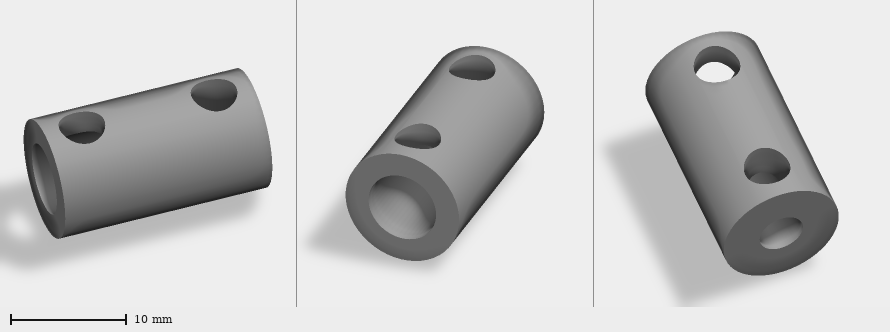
import cadquery as cq
import math

length = 19.05
outer_diameter = 10.67

wide_bore_diameter = 6.35
narrow_bore_diameter = 4.0
wide_bore_depth = length / 2
drill_point_angle = 118.0

screw_hole_diameter = 4.04
screw_hole_inset = 3.45

front_y = -length / 2
back_y = length / 2
wide_radius = wide_bore_diameter / 2
narrow_radius = narrow_bore_diameter / 2
cone_length = (wide_radius - narrow_radius) / math.tan(math.radians(drill_point_angle / 2))
cone_start_y = front_y + wide_bore_depth


def make_body():
    return cq.Workplane("XZ", origin=(0, back_y, 0)).circle(outer_diameter / 2).extrude(length)


def make_bore():
    """Half profile of the stepped bore, revolved about the Y axis."""
    profile = [
        (0, front_y),
        (wide_radius, front_y),
        (wide_radius, cone_start_y),
        (narrow_radius, cone_start_y + cone_length),
        (narrow_radius, back_y),
        (0, back_y),
    ]
    return cq.Workplane("XY").polyline(profile).close().revolve(360, (0, 0, 0), (0, 1, 0))


def make_screw_holes():
    hole_y = length / 2 - screw_hole_inset
    return (
        cq.Workplane("XY")
        .pushPoints([(0, -hole_y), (0, hole_y)])
        .circle(screw_hole_diameter / 2)
        .extrude(outer_diameter / 2)
    )


result = make_body().cut(make_bore()).cut(make_screw_holes())